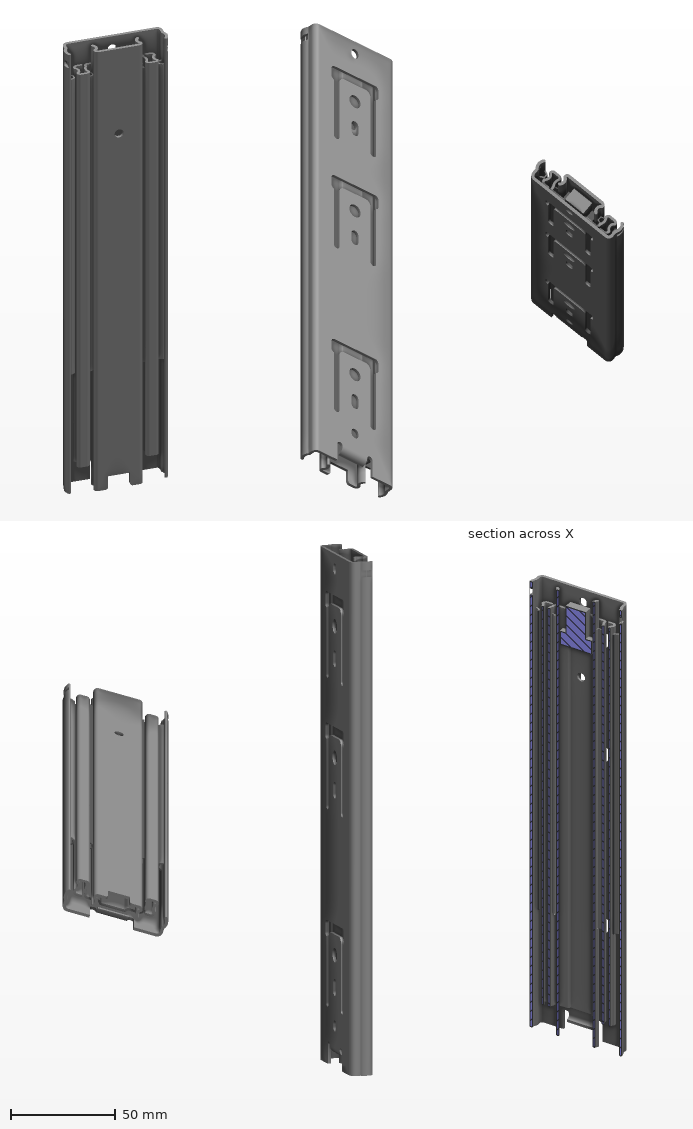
import cadquery as cq
import math


LENGTH = 250.0
DEPTH = 13.0
HALF_WIDTH = 26.0

OUTER_GAUGE = 1.5
OUTER_BEND = 2.0
RACE_START_X = 5.2
RACE_END_X = 10.5
RACE_CENTRE_X = 8.0
RACE_RISE = 1.0
WEB_MID_X = OUTER_GAUGE / 2
RACE_PEAK_Y = HALF_WIDTH - OUTER_GAUGE / 2
FLANGE_Y = RACE_PEAK_Y - RACE_RISE

WINDOW_TOPS = [229.8, 165.8, 69.8]
WINDOW_HALF_WIDTH = 14.8
WINDOW_HEIGHT = 8.0
WINDOW_CORNER = 2.0
TONGUE_DROP = 5.0
TONGUE_HALF_WIDTH = 9.8
TONGUE_CORNER = 3.0
ARM_SLOT_WIDTH = 3.5
CUT_HEIGHT = 42.0
ROUND_HOLE_DROP = 15.0
ROUND_HOLE_DIAMETER = 7.0
SCREW_SLOT_DROP = 30.8
SCREW_SLOT_LENGTH = 8.2
SCREW_SLOT_WIDTH = 4.2

END_HOLE_HEIGHTS = [20.2, 242.8]
END_HOLE_LENGTH = 5.2
END_NOTCH_HALF_WIDTH = 11.0
END_NOTCH_HEIGHT = 9.5
RELIEF_WIDTH = 3.2
RELIEF_HEIGHT = 11.0
END_TAB_RADIUS = 3.5
RACE_NOTCH_BOTTOM = 242.5
RACE_NOTCH_HEIGHT = 3.5
RACE_NOTCH_DEPTH = 1.5

MIDDLE_GAUGE = 1.2
MIDDLE_BOTTOM = 14.5
MIDDLE_TOP = 238.2
MIDDLE_CENTRE_X = 2.5
MIDDLE_CENTRE_HALF_WIDTH = 6.0
MIDDLE_STEP = 1.2
MIDDLE_WEB_BEND = 1.2
MIDDLE_FOLD_X = 11.5
MIDDLE_INNER_RACE_Y = 14.5
MIDDLE_OUTER_RACE_Y = 20.0
MIDDLE_INNER_RACE_DEPTH = 0.8
MIDDLE_OUTER_RACE_DEPTH = 1.2

INNER_GAUGE = 1.5
INNER_WEB_HALF_WIDTH = 10.2
INNER_RACE_DEEP_Y = 10.2
INNER_RACE_END = (6.5, 11.2)
INNER_BEND_END = (10.8, 11.5)
INNER_NOTCH_WIDTH = 11.0
INNER_NOTCH_HEIGHT = 7.5
INNER_NOTCH_CORNER = 1.5

ACCESS_HOLE_HEIGHT = 201.8
ACCESS_HOLE_DIAMETER = 4.5

OUTER_STRIP_GAUGE = 0.8
INNER_STRIP_GAUGE = 0.5
STRIP_BOTTOM = 67.0
STRIP_TOP = 235.0
OUTER_STRIP_PATH = [(6.2, 23.0), (7.0, 21.2), (9.0, 21.2), (9.8, 23.0)]
INNER_STRIP_PATH = [(6.8, 13.8), (7.2, 12.0), (9.2, 12.0), (9.8, 13.5)]

BLOCK_X_MIN = 3.8
BLOCK_X_MAX = 10.5
BLOCK_WIDTH = 11.2
BLOCK_BOTTOM = 227.5
BLOCK_TOP = 242.5
BLOCK_BASE_X_MIN = 5.0
BLOCK_BASE_WIDTH = 18.0
BLOCK_BASE_BOTTOM = 220.0


def box(x_min, x_max, y_min, y_max, z_min, z_max):
    """Axis-aligned box between two corners."""
    size = (x_max - x_min, y_max - y_min, z_max - z_min)
    return cq.Workplane("XY").box(*size, centered=False).translate((x_min, y_min, z_min))


def slot_through_x(y, z, length, width):
    """Cutter along X, through the whole depth; the slot stands upright in Z."""
    return cq.Workplane("YZ").center(y, z).slot2D(length, width, 90).extrude(DEPTH)


def hole_through_x(z, diameter):
    return cq.Workplane("YZ").center(0, z).circle(diameter / 2).extrude(DEPTH)


def trace(path, steps):
    """Add steps to a path: one point for a line, a middle and an end point for an arc."""
    for step in steps:
        if len(step) == 1:
            path = path.lineTo(*step[0])
        else:
            path = path.threePointArc(*step)
    return path


def mirrored(start, steps):
    """Start and steps of the path's -Y half, reversed so that it leads to the XZ plane."""
    points = [start] + [step[-1] for step in steps]
    flip = [(x, -y) for x, y in points]
    back = []
    for index in range(len(steps) - 1, -1, -1):
        middle = [(x, -y) for x, y in steps[index][:-1]]
        back.append(tuple(middle + [flip[index]]))
    return flip[-1], back


def formed_sheet(path, gauge, bottom, top):
    """Sheet of even gauge that follows an open mid-thickness path, extruded along Z."""
    profile = path.wire().offset2D(gauge / 2)
    return profile.extrude(top - bottom).translate((0, 0, bottom))


def symmetric_rail(start, steps, gauge, bottom, top):
    """Formed rail whose +Y half is given from the XZ plane outward."""
    far_end, back = mirrored(start, steps)
    path = trace(cq.Workplane("XY").moveTo(*far_end), back)
    return formed_sheet(trace(path, steps), gauge, bottom, top)


def tongue_cut(top):
    """U-shaped cut that frees a tongue, with a wide window over the tongue's tip."""
    window = box(0, OUTER_GAUGE, -WINDOW_HALF_WIDTH, WINDOW_HALF_WIDTH, top - WINDOW_HEIGHT, top)
    cut = window.edges("|X").fillet(WINDOW_CORNER)
    for side in (-1, 1):
        slot_y = side * (TONGUE_HALF_WIDTH + ARM_SLOT_WIDTH / 2)
        arm = slot_through_x(slot_y, top - CUT_HEIGHT / 2, CUT_HEIGHT, ARM_SLOT_WIDTH)
        cut = cut.union(arm)
    half = TONGUE_HALF_WIDTH
    tip = top - TONGUE_DROP
    tip_gap = box(0, OUTER_GAUGE, -half, half, tip - TONGUE_CORNER, top)
    tongue = box(0, OUTER_GAUGE, -half, half, top - CUT_HEIGHT, tip)
    return cut.union(tip_gap).cut(tongue.edges("|X and >Z").fillet(TONGUE_CORNER))


def end_notch():
    """Notch in the lower end of the outer web, with relief slits beside the bent tab."""
    half = END_NOTCH_HALF_WIDTH
    notch = box(0, OUTER_GAUGE, -half, half, 0, END_NOTCH_HEIGHT)
    for side in (-1, 1):
        slit_y = side * (half - RELIEF_WIDTH / 2)
        slit = slot_through_x(slit_y, RELIEF_HEIGHT / 2, RELIEF_HEIGHT, RELIEF_WIDTH)
        notch = notch.union(slit)
    return notch


def end_tab():
    """Stop tab that bends inward a quarter turn from the top of the end notch."""
    half = END_NOTCH_HALF_WIDTH - RELIEF_WIDTH
    inner_radius = END_TAB_RADIUS - OUTER_GAUGE
    diagonal = math.sqrt(0.5)
    profile = (
        cq.Workplane("XZ", origin=(END_TAB_RADIUS, 0, END_NOTCH_HEIGHT))
        .moveTo(-END_TAB_RADIUS, 0)
        .threePointArc((-END_TAB_RADIUS * diagonal, -END_TAB_RADIUS * diagonal), (0, -END_TAB_RADIUS))
        .lineTo(0, -inner_radius)
        .threePointArc((-inner_radius * diagonal, -inner_radius * diagonal), (-inner_radius, 0))
        .close()
    )
    return profile.extrude(half, both=True)


def outer_rail():
    bend_start_y = FLANGE_Y - OUTER_BEND
    bend_end_x = WEB_MID_X + OUTER_BEND
    bend_inset = OUTER_BEND * (1 - math.sqrt(0.5))
    bend_middle = (WEB_MID_X + bend_inset, FLANGE_Y - bend_inset)
    steps = [
        ((WEB_MID_X, bend_start_y),),
        (bend_middle, (bend_end_x, FLANGE_Y)),
        ((RACE_START_X, FLANGE_Y),),
        ((RACE_CENTRE_X, RACE_PEAK_Y), (RACE_END_X, FLANGE_Y)),
    ]
    rail = symmetric_rail((WEB_MID_X, 0), steps, OUTER_GAUGE, 0, LENGTH)
    for top in WINDOW_TOPS:
        rail = rail.cut(tongue_cut(top))
        rail = rail.cut(hole_through_x(top - ROUND_HOLE_DROP, ROUND_HOLE_DIAMETER))
        rail = rail.cut(slot_through_x(0, top - SCREW_SLOT_DROP, SCREW_SLOT_LENGTH, SCREW_SLOT_WIDTH))
    for height in END_HOLE_HEIGHTS:
        rail = rail.cut(slot_through_x(0, height, END_HOLE_LENGTH, SCREW_SLOT_WIDTH))
    rail = rail.cut(end_notch()).union(end_tab())
    notch_top = RACE_NOTCH_BOTTOM + RACE_NOTCH_HEIGHT
    notch_y = HALF_WIDTH - RACE_NOTCH_DEPTH
    for y_min, y_max in ((-HALF_WIDTH, -notch_y), (notch_y, HALF_WIDTH)):
        rail = rail.cut(box(RACE_START_X, DEPTH, y_min, y_max, RACE_NOTCH_BOTTOM, notch_top))
    return rail


def middle_rail():
    """C-shaped rail; each edge folds back so that it forms an inner and an outer raceway."""
    web_x = MIDDLE_CENTRE_X + MIDDLE_STEP
    step_y = MIDDLE_CENTRE_HALF_WIDTH
    bend_inset = MIDDLE_WEB_BEND * (1 - math.sqrt(0.5))
    inner_y = MIDDLE_INNER_RACE_Y
    outer_y = MIDDLE_OUTER_RACE_Y
    steps = [
        ((MIDDLE_CENTRE_X, step_y),),
        ((web_x, step_y + MIDDLE_STEP),),
        ((web_x, inner_y - MIDDLE_WEB_BEND),),
        ((web_x + bend_inset, inner_y - bend_inset), (web_x + MIDDLE_WEB_BEND, inner_y)),
        ((5.8, inner_y),),
        ((RACE_CENTRE_X, inner_y + MIDDLE_INNER_RACE_DEPTH), (10.2, inner_y)),
        ((11.2, 15.0), (MIDDLE_FOLD_X, 16.0)),
        ((MIDDLE_FOLD_X, 18.5),),
        ((11.2, 19.5), (10.2, outer_y)),
        ((RACE_CENTRE_X, outer_y - MIDDLE_OUTER_RACE_DEPTH), (5.8, outer_y)),
        ((4.5, 19.8), (3.8, 18.5)),
        ((3.8, 16.2),),
    ]
    rail = symmetric_rail((MIDDLE_CENTRE_X, 0), steps, MIDDLE_GAUGE, MIDDLE_BOTTOM, MIDDLE_TOP)
    return rail.cut(hole_through_x(ACCESS_HOLE_HEIGHT, ACCESS_HOLE_DIAMETER))


def inner_rail():
    """Channel open toward the outer web, with a raceway along each flange."""
    web_x = DEPTH - INNER_GAUGE / 2
    steps = [
        ((web_x, INNER_WEB_HALF_WIDTH),),
        ((11.8, 11.2), INNER_BEND_END),
        ((RACE_CENTRE_X, INNER_RACE_DEEP_Y), INNER_RACE_END),
    ]
    rail = symmetric_rail((web_x, 0), steps, INNER_GAUGE, 0, LENGTH)
    rail = rail.cut(hole_through_x(ACCESS_HOLE_HEIGHT, ACCESS_HOLE_DIAMETER))
    return rail.cut(inner_notch(web_x - INNER_GAUGE))


def inner_notch(x_min):
    """Notch in the lower end of the inner web, flared by rounded corners at its mouth."""
    half = INNER_NOTCH_WIDTH / 2
    radius = INNER_NOTCH_CORNER
    notch = box(x_min, DEPTH, -half, half, 0, INNER_NOTCH_HEIGHT)
    notch = notch.union(box(x_min, DEPTH, -half - radius, half + radius, 0, radius))
    for side in (-1, 1):
        corner = cq.Workplane("YZ").center(side * (half + radius), radius).circle(radius).extrude(DEPTH)
        notch = notch.cut(corner)
    return notch


def bearing_strip(points, gauge, side):
    """Trough-shaped strip between two raceways, on the +Y (1) or -Y (-1) side."""
    path = cq.Workplane("XY").polyline([(x, side * y) for x, y in points])
    return formed_sheet(path, gauge, STRIP_BOTTOM, STRIP_TOP)


def outer_bearing_strip(side):
    return bearing_strip(OUTER_STRIP_PATH, OUTER_STRIP_GAUGE, side)


def inner_bearing_strip(side):
    return bearing_strip(INNER_STRIP_PATH, INNER_STRIP_GAUGE, side)


def stop_block():
    """Block in the inner rail, standing on a base that spans the rail's flanges."""
    half = BLOCK_WIDTH / 2
    base_half = BLOCK_BASE_WIDTH / 2
    block = box(BLOCK_X_MIN, BLOCK_X_MAX, -half, half, BLOCK_BOTTOM, BLOCK_TOP)
    base = box(BLOCK_BASE_X_MIN, BLOCK_X_MAX, -base_half, base_half, BLOCK_BASE_BOTTOM, BLOCK_BOTTOM)
    return block.union(base)


bodies = [outer_rail(), middle_rail(), inner_rail(), stop_block()]
for side in (-1, 1):
    bodies.append(outer_bearing_strip(side))
    bodies.append(inner_bearing_strip(side))

result = cq.Compound.makeCompound([body.solids().val() for body in bodies])